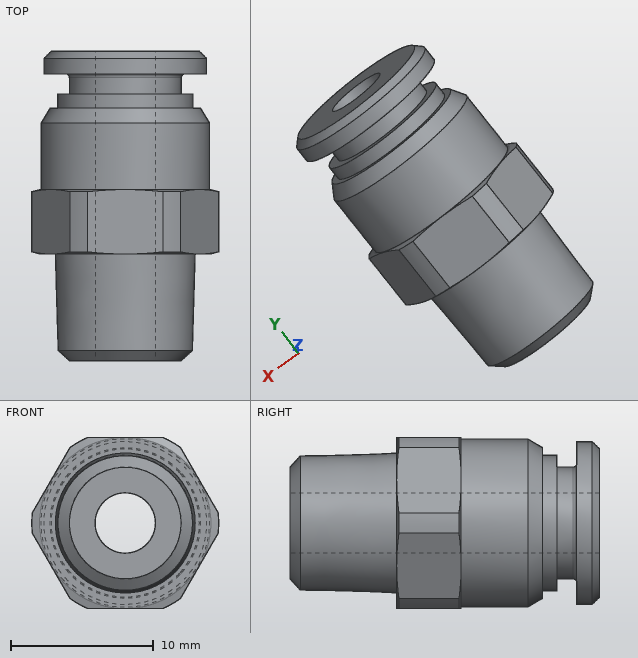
import cadquery as cq
import math

thread_chamfer_y = 0.74
hex_start_y = 7.49
hex_end_y = 12.0
body_chamfer_y = 16.67
body_end_y = 17.7
collar_end_y = 18.7
flange_start_y = 20.1
flange_chamfer_y = 21.18
total_length = 21.7

thread_tip_radius = 3.9
thread_front_radius = 4.7
thread_root_radius = 4.9
body_radius = 5.9
body_end_radius = 5.27
collar_radius = 4.75
neck_radius = 3.93
flange_radius = 5.7
flange_end_radius = 5.19
bore_radius = 2.1
neck_fillet = 0.25

across_flats = 12.0
hex_corner_radius = 6.55
hex_face_radius = across_flats / 2
hex_chamfer_length = 0.15


def revolve_about_y(profile):
    """Revolve a closed (radius, y) profile about the fitting axis."""
    return profile.close().revolve(360, (0, 0, 0), (0, 1, 0))


def make_turned_body():
    """Tapered thread, round body, release-sleeve collar, neck and flange."""
    fillet_mid = neck_fillet * (1 - math.sqrt(0.5))
    profile = (
        cq.Workplane("XY")
        .moveTo(0, 0)
        .lineTo(thread_tip_radius, 0)
        .lineTo(thread_front_radius, thread_chamfer_y)
        .lineTo(thread_root_radius, hex_start_y)
        .lineTo(body_radius, hex_start_y)
        .lineTo(body_radius, body_chamfer_y)
        .lineTo(body_end_radius, body_end_y)
        .lineTo(collar_radius, body_end_y)
        .lineTo(collar_radius, collar_end_y)
        .lineTo(neck_radius, collar_end_y)
        .lineTo(neck_radius, flange_start_y - neck_fillet)
        .threePointArc(
            (neck_radius + fillet_mid, flange_start_y - fillet_mid),
            (neck_radius + neck_fillet, flange_start_y),
        )
        .lineTo(flange_radius, flange_start_y)
        .lineTo(flange_radius, flange_chamfer_y)
        .lineTo(flange_end_radius, total_length)
        .lineTo(0, total_length)
    )
    return revolve_about_y(profile)


def make_hex():
    """Hexagon with flats facing +Z and -Z, its corners turned and chamfered."""
    prism = (
        cq.Workplane("XZ", origin=(0, hex_start_y, 0))
        .polygon(6, across_flats / math.cos(math.pi / 6))
        .extrude(hex_start_y - hex_end_y)
    )
    envelope = revolve_about_y(
        cq.Workplane("XY")
        .moveTo(0, hex_start_y)
        .lineTo(hex_face_radius, hex_start_y)
        .lineTo(hex_corner_radius, hex_start_y + hex_chamfer_length)
        .lineTo(hex_corner_radius, hex_end_y - hex_chamfer_length)
        .lineTo(hex_face_radius, hex_end_y)
        .lineTo(0, hex_end_y)
    )
    return prism.intersect(envelope)


def make_bore():
    """Plain hole through the whole fitting."""
    return cq.Workplane("XZ").circle(bore_radius).extrude(-total_length)


result = make_turned_body().union(make_hex()).cut(make_bore())